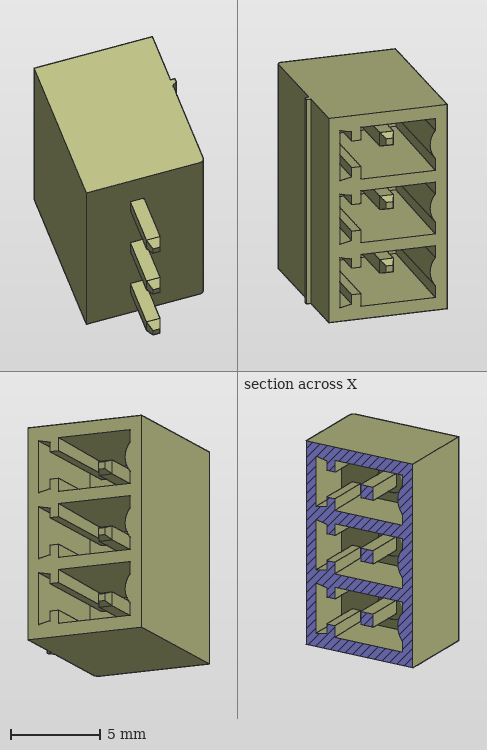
import cadquery as cq
import math


total_length = 12.6
housing_length = 9.21
housing_height = 12.23
housing_y_min = -3.0
housing_y_max = 3.98
back_corner_radius = 0.28

ridge_start = 3.19
ridge_height = 0.26
ridge_crest_length = 0.25
ridge_base_length = 0.42

cavity_count = 3
pitch = 3.8
cavity_depth = 7.0
cavity_y_min = -2.29
mouth_half_height = 1.55
floor_half_height = 1.45

rib_y_min = 2.09
rib_y_max = 2.63
rib_gap_half = 0.8
groove_y_max = 3.34
groove_inner_half = 1.35
groove_outer_half = 1.5

key_half_width = 0.85
key_height = 0.3

pin_side = 0.81
pin_tip_side = 0.4
pin_taper_length = 0.55
pin_front = 1.2
collar_diameter = 1.8
collar_round = 0.24

housing_depth = housing_y_max - housing_y_min
cavity_levels = [(i - (cavity_count - 1) / 2) * pitch for i in range(cavity_count)]


def make_housing():
    block = cq.Workplane("XY").box(
        housing_length, housing_depth, housing_height, centered=(False, False, True)
    )
    return block.translate((0, housing_y_min, 0)).edges("|Z and >X and >Y").fillet(back_corner_radius)


def make_ridge():
    return (
        cq.Workplane("XY")
        .workplane(offset=-housing_height / 2)
        .moveTo(ridge_start, housing_y_max)
        .line(0, ridge_height)
        .line(ridge_crest_length, 0)
        .lineTo(ridge_start + ridge_base_length, housing_y_max)
        .close()
        .extrude(housing_height)
    )


def make_cavity():
    """Space to remove for one cavity, centred on its pin, with its mouth at X = 0."""
    chamber_width = rib_y_min - cavity_y_min
    chamber_middle = (rib_y_min + cavity_y_min) / 2
    chamber = (
        cq.Workplane("YZ")
        .center(chamber_middle, 0)
        .rect(chamber_width, 2 * mouth_half_height)
        .workplane(offset=cavity_depth)
        .rect(chamber_width, 2 * floor_half_height)
        .loft(ruled=True)
    )
    key = (
        cq.Workplane("YZ")
        .moveTo(cavity_y_min, -key_half_width)
        .threePointArc((cavity_y_min + key_height, 0), (cavity_y_min, key_half_width))
        .close()
        .extrude(cavity_depth)
    )
    groove = (
        cq.Workplane("YZ")
        .moveTo(rib_y_min, -rib_gap_half)
        .lineTo(rib_y_max, -rib_gap_half)
        .lineTo(rib_y_max, -groove_inner_half)
        .lineTo(groove_y_max, -groove_outer_half)
        .lineTo(groove_y_max, groove_outer_half)
        .lineTo(rib_y_max, groove_inner_half)
        .lineTo(rib_y_max, rib_gap_half)
        .lineTo(rib_y_min, rib_gap_half)
        .close()
        .extrude(cavity_depth)
    )
    return chamber.cut(key).union(groove)


def make_pin_taper(tip_x, base_x):
    return (
        cq.Workplane("YZ")
        .workplane(offset=tip_x)
        .rect(pin_tip_side, pin_tip_side)
        .workplane(offset=base_x - tip_x)
        .rect(pin_side, pin_side)
        .loft(ruled=True)
    )


def make_pin():
    shank_start = pin_front + pin_taper_length
    shank_end = total_length - pin_taper_length
    shank = (
        cq.Workplane("YZ")
        .workplane(offset=shank_start)
        .rect(pin_side, pin_side)
        .extrude(shank_end - shank_start)
    )
    front_taper = make_pin_taper(pin_front, shank_start)
    tail_taper = make_pin_taper(total_length, shank_end)
    return shank.union(front_taper).union(tail_taper)


def make_collar():
    """Collar rising from the cavity floor, its rim rounded over its full height."""
    base_radius = collar_diameter / 2
    crest_radius = base_radius - collar_round
    crest_x = cavity_depth - collar_round
    diagonal = collar_round * math.sqrt(0.5)
    return (
        cq.Workplane("XY")
        .moveTo(crest_x, 0)
        .lineTo(crest_x, crest_radius)
        .threePointArc(
            (cavity_depth - diagonal, crest_radius + diagonal),
            (cavity_depth, base_radius),
        )
        .lineTo(cavity_depth, 0)
        .close()
        .revolve(360, (0, 0, 0), (1, 0, 0))
    )


result = make_housing().union(make_ridge())
for level in cavity_levels:
    result = result.cut(make_cavity().translate((0, 0, level)))
    result = result.union(make_collar().translate((0, 0, level)))
    result = result.union(make_pin().translate((0, 0, level)))